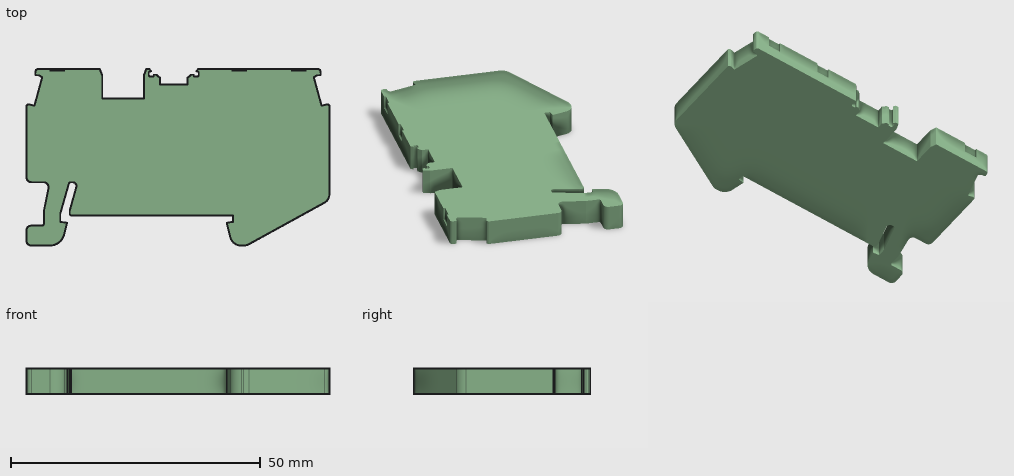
import cadquery as cq
import math


LENGTH = 60.7
HEIGHT = 35.4
THICKNESS = 5.15

MID_LENGTH = LENGTH / 2
LUG_TOP_REACH = MID_LENGTH - 1.9
LUG_UNDERSIDE = HEIGHT - 1.3
LUG_ROUND = 0.55
LUG_FLARE = 0.2
THROAT_REACH = MID_LENGTH - 3.15
THROAT_Y = HEIGHT - 1.7
THROAT_LEAD = 0.6
SHOULDER_REACH = MID_LENGTH - 1.6
SHOULDER_Y = 28.05
SHOULDER_PEAK_Y = SHOULDER_Y + 0.25
SHOULDER_CHAMFER = 0.3

NOTCH_LEFT = 15.2
NOTCH_RIGHT = 23.5
NOTCH_FLOOR = 29.5
NOTCH_LEAD_WIDTH = 0.5
NOTCH_LEAD_DEPTH = 1.3

LATCH_AXIS = 29.5
SEAT_HALF_WIDTH = 2.75
SEAT_FLOOR = 32.3
SEAT_EDGE_Y = HEIGHT - 1.8
STEP_HALF_WIDTH = 3.5
STEP_Y = HEIGHT - 1.15
GROOVE_INNER = 4.05
GROOVE_OUTER = 5.0
GROOVE_FLOOR = HEIGHT - 1.5
GROOVE_ROUND = 0.25
BARB_REACH = 4.5
BARB_TIP_Y = HEIGHT - 0.5
BARB_UNDERSIDE = HEIGHT - 0.65
POST_TOP_REACH = 4.9

POCKET_WIDTH = 2.75
POCKET_HEIGHT = 0.37
POCKET_DEPTH = THICKNESS / 2
END_POCKET_INSET = 6.2
POCKET_CENTRES = (END_POCKET_INSET, 42.6, LENGTH - END_POCKET_INSET)

BASE_Y = 6.0
LIP_ROOT_Y = 4.8
LIP_TIP_Y = 4.6
LIP_SLOPE = math.radians(76)
LIP_RUN = LIP_TIP_Y / math.tan(LIP_SLOPE)

RIGHT_FOOT_ROOT = 41.35
RIGHT_LIP_TIP = 40.07
RIGHT_FOOT_ROUND = 2.3
SLANT_START = 44.03
SLANT_ANGLE = math.radians(28.8)
SLANT_END_Y = (LENGTH - SLANT_START) * math.tan(SLANT_ANGLE)
SLANT_ROUND = 2.1

RECESS_TOP = 12.7
RECESS_FLOOR = 4.05
CORNER_ROUND = 1.0
LEG_ROOT_ROUND = 0.4
LEG_OUTER_TOP = 4.65
LEG_OUTER_BOTTOM = 3.5
LEG_OUTER_BEND = 7.0
LEG_INNER_BOTTOM = 6.8
LEG_INNER_BEND = 6.4
SLOT_LEFT_TOP = 8.6
SLOT_RIGHT_TOP = 10.25
SLOT_RIGHT_BOTTOM = 8.65
SLOT_RIGHT_BEND = 7.0
SLOT_ROUND = 0.75
BASE_CHAMFER = 0.3
LEFT_LIP_TIP = 8.17
LEFT_FOOT_ROUND = 3.0


def mirrored(points, axis):
    """Reflect outline corners about a vertical axis, keeping the direction of travel."""
    return [(2 * axis - x, y, radius) for x, y, radius in reversed(points)]


def toward(start, end, distance):
    """Point at a given distance from start on the way to end."""
    ratio = distance / math.dist(start, end)
    return (start[0] + ratio * (end[0] - start[0]), start[1] + ratio * (end[1] - start[1]))


def rounded_outline(corners):
    """Closed outline through (x, y, radius) corners, each rounded by a tangent arc."""
    path = None
    for i, (x, y, radius) in enumerate(corners):
        corner = (x, y)
        before = corners[i - 1][:2]
        after = corners[(i + 1) % len(corners)][:2]
        to_before = toward(corner, before, 1)
        to_after = toward(corner, after, 1)
        half_angle = math.asin(math.dist(to_before, to_after) / 2)
        setback = radius / math.tan(half_angle)
        entry = toward(corner, before, setback)
        path = path.lineTo(*entry) if path else cq.Workplane("XY").moveTo(*entry)
        if radius:
            bisector = ((to_before[0] + to_after[0]) / 2, (to_before[1] + to_after[1]) / 2)
            middle = toward(corner, bisector, radius / math.sin(half_angle) - radius)
            path = path.threePointArc(middle, toward(corner, after, setback))
    return path.close()


def right_lug():
    """Right end from the lug's outer top corner down to the bevelled shoulder."""
    lug_reach = MID_LENGTH + LUG_TOP_REACH
    throat = MID_LENGTH + THROAT_REACH
    return [
        (lug_reach, HEIGHT, LUG_ROUND),
        (lug_reach + LUG_FLARE, LUG_UNDERSIDE, LUG_ROUND / 2),
        (throat + THROAT_LEAD, LUG_UNDERSIDE, 0),
        (throat, THROAT_Y, 0),
        (MID_LENGTH + SHOULDER_REACH, SHOULDER_Y, 0),
        (LENGTH - 2 * SHOULDER_CHAMFER, SHOULDER_PEAK_Y, 0),
        (LENGTH - SHOULDER_CHAMFER, SHOULDER_PEAK_Y, 0),
        (LENGTH, SHOULDER_PEAK_Y - SHOULDER_CHAMFER, 0),
    ]


def right_latch_post():
    """Right half of the latch seat, from its floor up to the barbed post."""
    half = [
        (SEAT_HALF_WIDTH, SEAT_FLOOR, 0),
        (SEAT_HALF_WIDTH, SEAT_EDGE_Y, 0),
        (STEP_HALF_WIDTH, STEP_Y, 0),
        (GROOVE_INNER, STEP_Y, 0),
        (GROOVE_INNER, GROOVE_FLOOR, 0),
        (GROOVE_OUTER, GROOVE_FLOOR, GROOVE_ROUND),
        (GROOVE_OUTER, BARB_UNDERSIDE, 0),
        (BARB_REACH, BARB_TIP_Y, 0),
        (POST_TOP_REACH, HEIGHT, 0),
    ]
    return [(LATCH_AXIS + x, y, radius) for x, y, radius in half]


def top_edge():
    """Outline from the left shoulder along the top to the right shoulder."""
    notch = [
        (NOTCH_LEFT - NOTCH_LEAD_WIDTH, HEIGHT, 0),
        (NOTCH_LEFT, HEIGHT - NOTCH_LEAD_DEPTH, 0),
        (NOTCH_LEFT, NOTCH_FLOOR, 0),
        (NOTCH_RIGHT, NOTCH_FLOOR, 0),
        (NOTCH_RIGHT, HEIGHT - NOTCH_LEAD_DEPTH, 0),
        (NOTCH_RIGHT + NOTCH_LEAD_WIDTH, HEIGHT, 0),
    ]
    latch_seat = mirrored(right_latch_post(), LATCH_AXIS) + right_latch_post()
    return mirrored(right_lug(), MID_LENGTH) + notch + latch_seat + right_lug()


def right_foot():
    """Outline from the right shoulder round the rigid foot to the base."""
    return [
        (LENGTH, SLANT_END_Y, SLANT_ROUND),
        (SLANT_START, 0, RIGHT_FOOT_ROUND),
        (RIGHT_LIP_TIP + LIP_RUN, 0, RIGHT_FOOT_ROUND),
        (RIGHT_LIP_TIP, LIP_TIP_Y, 0),
        (RIGHT_FOOT_ROOT, LIP_ROOT_Y, 0),
        (RIGHT_FOOT_ROOT, BASE_Y, 0),
    ]


def left_foot():
    """Outline from the base round the slot and springy leg to the left shoulder."""
    return [
        (SLOT_RIGHT_BOTTOM + BASE_CHAMFER, BASE_Y, 0),
        (SLOT_RIGHT_BOTTOM, BASE_Y + BASE_CHAMFER, 0),
        (SLOT_RIGHT_BOTTOM, SLOT_RIGHT_BEND, 0),
        (SLOT_RIGHT_TOP, RECESS_TOP, SLOT_ROUND),
        (SLOT_LEFT_TOP, RECESS_TOP, SLOT_ROUND / 2),
        (LEG_INNER_BOTTOM, LEG_INNER_BEND, 0),
        (LEG_INNER_BOTTOM, LIP_ROOT_Y, 0),
        (LEFT_LIP_TIP, LIP_TIP_Y, 0),
        (LEFT_LIP_TIP - LIP_RUN, 0, LEFT_FOOT_ROUND),
        (0, 0, CORNER_ROUND),
        (0, RECESS_FLOOR, CORNER_ROUND),
        (LEG_OUTER_BOTTOM, RECESS_FLOOR, LEG_ROOT_ROUND),
        (LEG_OUTER_BOTTOM, LEG_OUTER_BEND, 0),
        (LEG_OUTER_TOP, RECESS_TOP, CORNER_ROUND),
        (0, RECESS_TOP, CORNER_ROUND),
    ]


def pocket(centre_x):
    """Cutter for one shallow pocket in the top edge, open to the upper face."""
    return (
        cq.Workplane("XY")
        .box(POCKET_WIDTH, 2 * POCKET_HEIGHT, 2 * POCKET_DEPTH)
        .translate((centre_x, HEIGHT, THICKNESS))
    )


result = rounded_outline(top_edge() + right_foot() + left_foot()).extrude(THICKNESS)
for pocket_centre in POCKET_CENTRES:
    result = result.cut(pocket(pocket_centre))